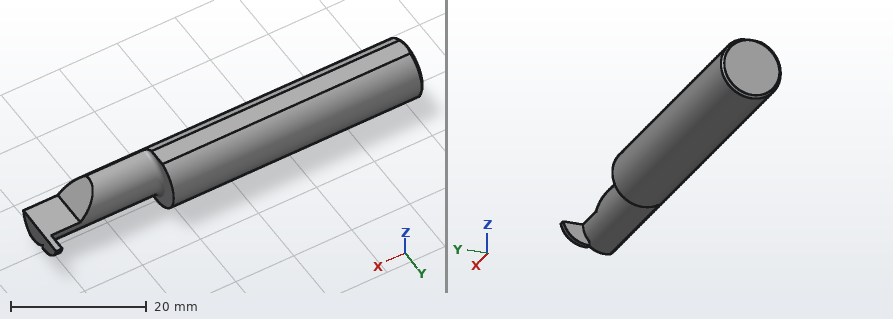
import cadquery as cq
import math

total_length = 63.5
shank_radius = 4.75
shank_length = 43.2
shank_chamfer = 0.4
flat_height = 4.5

neck_radius = 3.8
neck_axis_y = -2.15
neck_fillet = 0.75

table_start = 57.4
ramp_angle = 45.0

tooth_start = 62.4
tooth_mid = (4.25, -1.3)
tooth_root = (0.65, -3.2)
end_side_relief = 1.0
end_under_relief = 2.0


def make_shank():
    bar = cq.Workplane("YZ").circle(shank_radius).extrude(shank_length)
    bar = bar.faces("<X").chamfer(shank_chamfer)
    side = 2 * shank_radius
    flat_cut = cq.Workplane("XY").box(side + shank_length, side, side, centered=(False, True, False))
    return bar.cut(flat_cut.translate((0, 0, flat_height)))


def make_neck():
    """Offset round neck, flared at the shank and trimmed to the shank's cylinder."""
    flare_radius = neck_radius + neck_fillet
    flare_end = shank_length + neck_fillet
    arc_offset = neck_fillet * math.sqrt(0.5)
    arc_mid = (flare_end - arc_offset, flare_radius - arc_offset)
    neck = (
        cq.Workplane("XY")
        .moveTo(shank_length, 0)
        .lineTo(shank_length, flare_radius)
        .threePointArc(arc_mid, (flare_end, neck_radius))
        .lineTo(total_length, neck_radius)
        .lineTo(total_length, 0)
        .close()
        .revolve(360, (0, 0, 0), (1, 0, 0))
        .translate((0, neck_axis_y, 0))
    )
    envelope = cq.Workplane("YZ").circle(shank_radius).extrude(total_length)
    return neck.intersect(envelope)


def make_tooth():
    return (
        cq.Workplane("YZ")
        .workplane(offset=tooth_start)
        .moveTo(tooth_root[0], 0)
        .lineTo(shank_radius, 0)
        .threePointArc(tooth_mid, tooth_root)
        .close()
        .extrude(total_length - tooth_start)
    )


def make_table_cut():
    """Space above the cutting table and its sloped run-out."""
    height = shank_radius
    ramp_run = height / math.tan(math.radians(ramp_angle))
    return (
        cq.Workplane("XZ")
        .moveTo(table_start, 0)
        .lineTo(total_length, 0)
        .lineTo(total_length, height)
        .lineTo(table_start - ramp_run, height)
        .close()
        .extrude(2 * shank_radius, both=True)
    )


def make_end_cut():
    """Block whose face slants back from the tooth tip, both sideways and downward."""
    side = 4 * shank_radius
    block = cq.Workplane("XY").box(side, side, side, centered=(False, True, True))
    block = block.rotate((0, 0, 0), (0, 0, 1), -end_side_relief)
    block = block.rotate((0, 0, 0), (0, 1, 0), end_under_relief)
    return block.translate((total_length, shank_radius, 0))


neck_and_head = make_neck().union(make_tooth()).cut(make_table_cut()).cut(make_end_cut())
result = make_shank().union(neck_and_head)